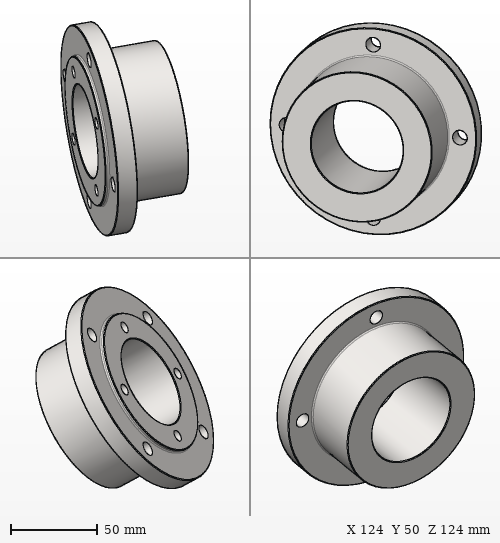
import cadquery as cq
import math

total_length = 50.0
spigot_length = 2.5
flange_thickness = 12.0
flange_back = spigot_length + flange_thickness

flange_diameter = 124.0
spigot_diameter = 88.0
hub_diameter = 90.0
bore_diameter = 55.0

edge_chamfer = 0.5
root_fillet = 0.7

flange_hole_diameter = 8.7
flange_hole_circle = 104.0

blind_hole_diameter = 6.8
blind_hole_circle = 70.0
blind_hole_depth = 19.8
drill_point_angle = 118.0

hole_count = 4
hole_step = 360.0 / hole_count


def turned_body():
    """Spigot, flange, hub and bore, revolved about the Y axis from one half section."""
    flange_radius = flange_diameter / 2
    spigot_radius = spigot_diameter / 2
    hub_radius = hub_diameter / 2
    bore_radius = bore_diameter / 2
    arc_inset = root_fillet * (1 - math.sqrt(0.5))

    section = (
        cq.Workplane("XY")
        .moveTo(bore_radius, edge_chamfer)
        .lineTo(bore_radius + edge_chamfer, 0)
        .lineTo(spigot_radius - edge_chamfer, 0)
        .lineTo(spigot_radius, edge_chamfer)
        .lineTo(spigot_radius, spigot_length - root_fillet)
        .threePointArc(
            (spigot_radius + arc_inset, spigot_length - arc_inset),
            (spigot_radius + root_fillet, spigot_length),
        )
        .lineTo(flange_radius - edge_chamfer, spigot_length)
        .lineTo(flange_radius, spigot_length + edge_chamfer)
        .lineTo(flange_radius, flange_back - edge_chamfer)
        .lineTo(flange_radius - edge_chamfer, flange_back)
        .lineTo(hub_radius + root_fillet, flange_back)
        .threePointArc(
            (hub_radius + arc_inset, flange_back + arc_inset),
            (hub_radius, flange_back + root_fillet),
        )
        .lineTo(hub_radius, total_length - edge_chamfer)
        .lineTo(hub_radius - edge_chamfer, total_length)
        .lineTo(bore_radius + edge_chamfer, total_length)
        .lineTo(bore_radius, total_length - edge_chamfer)
        .close()
    )
    return section.revolve(360, (0, 0, 0), (0, 1, 0))


def round_hole(radius, depth, tip_length=0.0):
    """Cutter running along +Y from the front face, ending flat or in a cone of the given length."""
    section = cq.Workplane("XY").lineTo(radius, 0).lineTo(radius, depth).lineTo(0, depth + tip_length)
    return section.close().revolve(360, (0, 0, 0), (0, 1, 0))


def drill_circle(body, cutter, circle_diameter, first_angle):
    """Cut equally spaced copies of a cutter on a circle about the Y axis."""
    for index in range(hole_count):
        angle = math.radians(first_angle + index * hole_step)
        x = circle_diameter / 2 * math.cos(angle)
        z = circle_diameter / 2 * math.sin(angle)
        body = body.cut(cutter.translate((x, 0, z)))
    return body


flange_hole = round_hole(flange_hole_diameter / 2, flange_back)

blind_hole_radius = blind_hole_diameter / 2
drill_tip_length = blind_hole_radius / math.tan(math.radians(drill_point_angle / 2))
blind_hole = round_hole(blind_hole_radius, blind_hole_depth, drill_tip_length)

result = turned_body()
result = drill_circle(result, flange_hole, flange_hole_circle, 0)
result = drill_circle(result, blind_hole, blind_hole_circle, hole_step / 2)